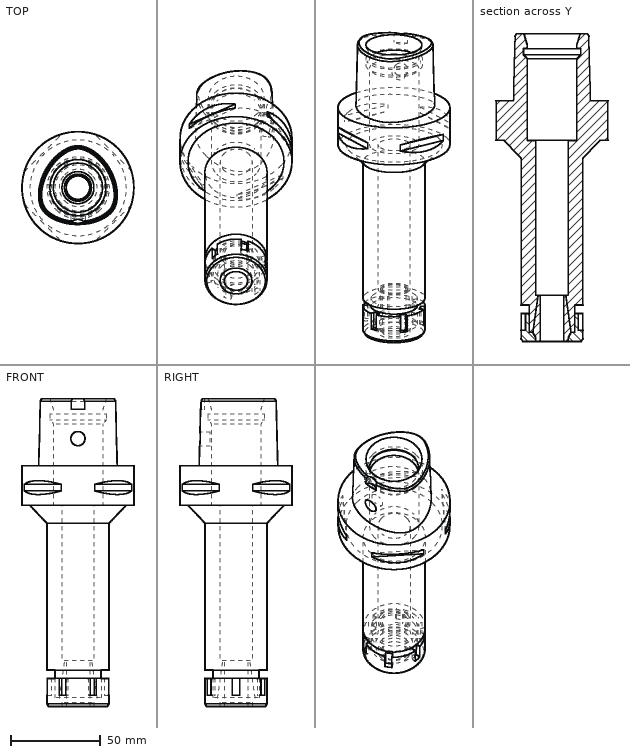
import cadquery as cq
import math

full_length = 173.0

flange_radius = 31.5
flange_top = 135.3
flange_bottom = 113.0
cone_top_radius = 27.0
body_radius = 17.5
cone_bottom = 103.0
body_bottom = 20.6
neck_radius = 13.0

shank_base_radius = 22.1
shank_taper = 1 / 40
shank_lobe = 1.4
shank_chamfer_height = 1.4
shank_chamfer_inset = 0.9
shank_outline_points = 48

mouth_radius = 15.7
bore_radius = 13.8
mouth_cone_depth = 6.2
lip_depth = 8.5
groove_radius = 16.0
groove_depth = 12.0
groove_end_depth = groove_depth + groove_radius - bore_radius
bore_floor = flange_bottom
channel_radius = 9.0

keyway_radius = 4.8
keyway_depth = 6.0
keyway_floor = 17.8
cross_hole_radius = 4.0
cross_hole_depth = 22.5
cross_hole_floor = 14.7

gripper_count = 4
gripper_center_z = 123.0
gripper_floor_distance = 27.9
gripper_floor_height = 3.6
gripper_flank_angle = 30.0

nut_radius = 17.5
nut_top = 16.0
nut_chamfer_height = 1.5
nut_chamfer_inset = 1.0
nut_slot_count = 6
nut_slot_width = 4.0
nut_slot_bottom = 6.5
nut_slot_floor = 14.9

collet_bore_radius = 6.5
collet_back_radius = 7.6
collet_rim_radius = 10.5
collet_front_radius = 9.0
collet_rim_z = 5.2
seat_angle = 8.0
rim_angle = 30.0
collet_back_z = collet_rim_z + (collet_rim_radius - collet_back_radius) / math.tan(math.radians(seat_angle))
collet_nose_z = collet_rim_z - (collet_rim_radius - collet_front_radius) / math.tan(math.radians(rim_angle))


def turned(profile):
    """Solid of revolution about Z from (radius, z) points."""
    return cq.Workplane("XZ").polyline(profile).close().revolve(360, (0, 0, 0), (0, 1, 0))


def shank_section(mean_radius, z):
    """Closed outline of the rounded triangle at height z, with one lobe toward +Y."""

    def point(turn):
        angle = 2 * math.pi * turn - math.pi / 2
        support = mean_radius - shank_lobe * math.sin(3 * angle)
        slope = -3 * shank_lobe * math.cos(3 * angle)
        x = support * math.cos(angle) - slope * math.sin(angle)
        y = support * math.sin(angle) + slope * math.cos(angle)
        return cq.Vector(x, y, z)

    points = [point(i / shank_outline_points) for i in range(shank_outline_points)]
    return cq.Wire.assembleEdges([cq.Edge.makeSpline(points, periodic=True)])


def shank():
    """Tapered rounded triangle with a chamfered tip."""
    chamfer_z = full_length - shank_chamfer_height
    chamfer_radius = shank_base_radius - shank_taper * (chamfer_z - flange_top)
    base = shank_section(shank_base_radius, flange_top)
    shoulder = shank_section(chamfer_radius, chamfer_z)
    tip = shank_section(chamfer_radius - shank_chamfer_inset, full_length)
    taper = cq.Workplane(cq.Solid.makeLoft([base, shoulder], True))
    return taper.union(cq.Workplane(cq.Solid.makeLoft([shoulder, tip], True)))


def holder_outside():
    return turned([
        (0, flange_top),
        (flange_radius, flange_top),
        (flange_radius, flange_bottom),
        (cone_top_radius, flange_bottom),
        (body_radius, cone_bottom),
        (body_radius, body_bottom),
        (neck_radius, body_bottom),
        (neck_radius, collet_rim_z),
        (0, collet_rim_z),
    ])


def holder_inside():
    """Stepped passage from the shank mouth down to the collet seat."""
    return turned([
        (0, full_length),
        (mouth_radius, full_length),
        (bore_radius, full_length - mouth_cone_depth),
        (bore_radius, full_length - lip_depth),
        (groove_radius, full_length - lip_depth),
        (groove_radius, full_length - groove_depth),
        (bore_radius, full_length - groove_end_depth),
        (bore_radius, bore_floor),
        (channel_radius, bore_floor),
        (channel_radius, collet_back_z),
        (collet_back_radius, collet_back_z),
        (collet_rim_radius, collet_rim_z),
        (0, collet_rim_z),
    ])


def keyway():
    """Round-backed notch in the rim of the shank."""
    center_y = -(keyway_floor + keyway_radius)
    start = cq.Workplane("XY").workplane(offset=full_length - keyway_depth)
    return start.center(0, center_y).circle(keyway_radius).extrude(keyway_depth)


def cross_hole():
    """Flat-bottomed radial hole that stops short of the bore."""
    start = cq.Workplane("XZ").workplane(offset=cross_hole_floor).center(0, full_length - cross_hole_depth)
    return start.circle(cross_hole_radius).extrude(flange_radius - cross_hole_floor)


def gripper_slot():
    """Straight slot across the +X side of the flange, widening outward."""
    half_floor = gripper_floor_height / 2
    depth = flange_radius - gripper_floor_distance
    half_mouth = half_floor + depth * math.tan(math.radians(gripper_flank_angle))
    outline = [
        (gripper_floor_distance, -half_floor),
        (flange_radius, -half_mouth),
        (flange_radius, half_mouth),
        (gripper_floor_distance, half_floor),
    ]
    profile = cq.Workplane("XZ").center(0, gripper_center_z).polyline(outline).close()
    return profile.extrude(flange_radius, both=True)


def make_holder():
    body = holder_outside().union(shank()).cut(holder_inside())
    body = body.cut(keyway()).cut(cross_hole())
    step = 360 / gripper_count
    for i in range(gripper_count):
        body = body.cut(gripper_slot().rotate((0, 0, 0), (0, 0, 1), (i + 0.5) * step))
    return body


def make_nut():
    body = turned([
        (collet_front_radius, 0),
        (nut_radius - nut_chamfer_inset, 0),
        (nut_radius, nut_chamfer_height),
        (nut_radius, nut_top),
        (neck_radius, nut_top),
        (neck_radius, collet_rim_z),
        (collet_rim_radius, collet_rim_z),
        (collet_front_radius, collet_nose_z),
    ])
    slot_depth = nut_radius - nut_slot_floor
    slot_height = nut_top - nut_slot_bottom
    slot = cq.Workplane("XY").box(slot_depth, nut_slot_width, slot_height, centered=(False, True, False))
    slot = slot.translate((nut_slot_floor, 0, nut_slot_bottom))
    for i in range(nut_slot_count):
        body = body.cut(slot.rotate((0, 0, 0), (0, 0, 1), i * 360 / nut_slot_count))
    return body


def make_collet():
    return turned([
        (collet_bore_radius, 0),
        (collet_front_radius, 0),
        (collet_front_radius, collet_nose_z),
        (collet_rim_radius, collet_rim_z),
        (collet_back_radius, collet_back_z),
        (collet_bore_radius, collet_back_z),
    ])


holder = make_holder()
nut = make_nut()
collet = make_collet()

result = cq.Compound.makeCompound([holder.val(), nut.val(), collet.val()])